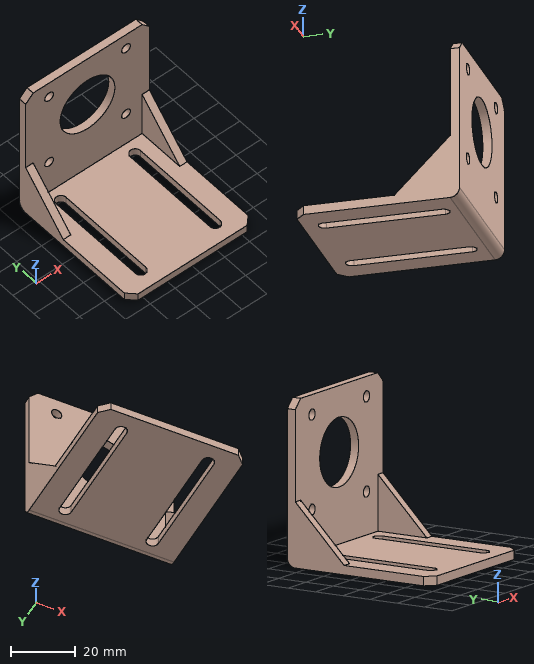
import cadquery as cq

width = 50.0
depth = 53.0
height = 53.0
thickness = 3.0
corner_chamfer = 3.0
heel_radius = 3.0

gusset_leg = 17.9

pilot_diameter = 22.0
pilot_height = 32.0
screw_diameter = 3.5
screw_spacing_x = 31.0
screw_spacing_z = 30.0
screw_center_height = 31.7

slot_width = 4.0
slot_length = 42.0
slot_spacing = 30.0
slot_end_gap = 6.05

overcut = 0.55



def make_base():
    plate = cq.Workplane("XY").box(width, depth, thickness, centered=(True, False, False))
    plate = plate.translate((0, -depth, 0))
    return plate.faces("<Y").edges("|Z").chamfer(corner_chamfer)


def make_upright():
    plate = cq.Workplane("XY").box(width, thickness, height, centered=(True, False, False))
    plate = plate.translate((0, -thickness, 0))
    return plate.faces(">Z").edges("|Y").chamfer(corner_chamfer)


def make_gusset(left_x):
    return (
        cq.Workplane("YZ", origin=(left_x, 0, 0))
        .moveTo(-thickness, thickness)
        .lineTo(-thickness - gusset_leg, thickness)
        .lineTo(-thickness, thickness + gusset_leg)
        .close()
        .extrude(thickness)
    )


def make_motor_holes():
    face = cq.Workplane("XZ", origin=(0, overcut, 0))
    cut_length = thickness + 2 * overcut
    pilot = face.center(0, pilot_height).circle(pilot_diameter / 2).extrude(cut_length)
    screws = (
        face.center(0, screw_center_height)
        .rect(screw_spacing_x, screw_spacing_z, forConstruction=True)
        .vertices()
        .circle(screw_diameter / 2)
        .extrude(cut_length)
    )
    return pilot.union(screws)


def make_slots():
    slot_center_y = -slot_end_gap - slot_length / 2
    return (
        cq.Workplane("XY", origin=(0, slot_center_y, -overcut))
        .pushPoints([(-slot_spacing / 2, 0), (slot_spacing / 2, 0)])
        .slot2D(slot_length, slot_width, 90)
        .extrude(thickness + 2 * overcut)
    )


bracket = make_base().union(make_upright())
for gusset_x in (-width / 2, width / 2 - thickness):
    bracket = bracket.union(make_gusset(gusset_x))

bracket = bracket.edges("|X and >Y and <Z").fillet(heel_radius)
result = bracket.cut(make_motor_holes()).cut(make_slots())